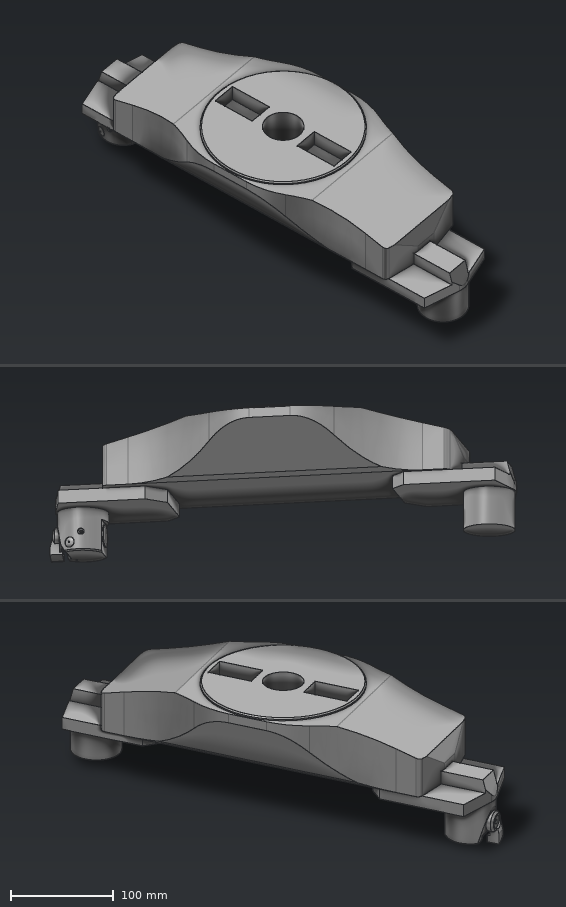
import cadquery as cq
import math


END_ANGLE = math.tan(math.radians(15))
CHEVRON = math.tan(math.radians(10))

BRIDGE_TOP = 63.5
MIDDLE_WIDTH = 164.0
MIDDLE_HALF_WIDTH = MIDDLE_WIDTH / 2
END_HALF_WIDTH = 53.0
MIDDLE_FLAT_END = 20.5
NECK_START = 146.0
CURVE_JOINT = 62.0
ROOF_START = 87.0
NOSE_X = 179.0
NOSE_WIDTH = 24.0
NOSE_HEIGHT = 20.5
CORNER_RADIUS = 5.0
UNDERCUT_TOP = 53.5
UNDERCUT_KNEE = (57.5, 4.0)

DISC_DIAMETER = 162.0
DISC_TOP = 66.0
DISC_CHAMFER = 1.5
TOTAL_HEIGHT = 126.0
BORE_DIAMETER = 40.0
BORE_DEPTH = 41.5
POCKET_LENGTH = 46.2
POCKET_WIDTH = 26.5
POCKET_DEPTH = 17.0
POCKET_X = 51.5

CARRIER_INNER = 113.0
CARRIER_NOSE = 229.0
CARRIER_THICKNESS = 13.0
CARRIER_BACK = 42.5
CARRIER_FRONT = 49.5
BACK_CORNER = 18.5
FRONT_CORNER = 14.0
TOOL_Y = -2.1
KEY_HEIGHT = 14.0
KEY_WIDTH = 24.0
KEY_Y = -5.5
KEY_TOP_X = 223.0

TOOL_X = 202.0
TOOL_DIAMETER = 50.5
TOOL_RADIUS = TOOL_DIAMETER / 2
WEIGHT_BOTTOM = -51.0
CARTRIDGE_BOTTOM = -56.0
CARTRIDGE_CHAMFER = 1.5

RELIEF_TOP = -21.3
RELIEF_DEPTH = 9.0
UNDERCUT_Z = -49.0
UNDERCUT_DEPTH = 12.0
UNDERCUT_SIDES = (-19.5, 9.2)

INSERT_Z = -37.0
INSERT_DIAMETER = 21.3
INSERT_CHAMFER = 2.5
INSERT_FACE = -28.5
INSERT_SEAT = -21.5
TOOTH_SIDES = (-8.0, 2.0)
TOOTH_FACE = -31.5
TOOTH_FACE_TOP = -48.0
TOOTH_HEEL = -19.0
TOOTH_HEEL_TOP = -52.5
TAPER_TOP = -55.0
CUTTING_EDGE = 3.0
TOOTH_BOTTOM = DISC_TOP - TOTAL_HEIGHT

SCREW_HEAD = 13.5
SCREW_HEAD_DEPTH = 3.2
SCREW_RECESS = 1.0
SCREW_SHANK = 6.5
SCREW_LENGTH = 12.0
SCREW_SOCKET = 4.5
SOCKET_DEPTH = 2.0

FLAT_TOP = -23.5
FLAT_X = 21.3
PAD_DIAMETER = 21.5
PAD_Z = -37.0
PAD_HEIGHT = 1.15

COOLANT_X = 3.0
COOLANT_Z = -37.0
COOLANT_DIAMETER = 6.0
COOLANT_RIM_DEPTH = 2.0
COOLANT_BORE = 2.8
COOLANT_DEPTH = 9.2
BUTTON_ANGLE = -20
BUTTON_Z = -47.0
BUTTON_DIAMETER = 10.0
BUTTON_HEIGHT = 1.5
BUTTON_HOLE = 1.0

PIN_X = -9.0
PIN_Y = 13.0
PIN_DIAMETER = 1.5
PIN_HEIGHT = 1.0


def box(x_range, y_range, z_range):
    """Axis-aligned block between the given limits."""
    size = [high - low for low, high in (x_range, y_range, z_range)]
    return cq.Workplane().box(*size, centered=False).translate((x_range[0], y_range[0], z_range[0]))


def x_cylinder(diameter, x_start, x_end, y, z):
    """Cylinder along X."""
    plane = cq.Workplane("YZ", origin=(x_start, y, z))
    return plane.circle(diameter / 2).extrude(x_end - x_start)


def half_turn(body):
    """Same body at the opposite end of the bridge."""
    return body.rotate((0, 0, 0), (0, 0, 1), 180)


def bridge_plan():
    """Waisted outline: tangent convex and concave arcs on every quarter."""
    run = NECK_START - MIDDLE_FLAT_END
    drop = MIDDLE_HALF_WIDTH - END_HALF_WIDTH
    sweep = 2 * math.atan(drop / run)
    convex_radius = (CURVE_JOINT - MIDDLE_FLAT_END) / math.sin(sweep)
    concave_radius = (NECK_START - CURVE_JOINT) / math.sin(sweep)

    def convex(angle):
        return (
            MIDDLE_FLAT_END + convex_radius * math.sin(angle),
            MIDDLE_HALF_WIDTH - convex_radius * (1 - math.cos(angle)),
        )

    def concave(angle):
        return (
            NECK_START - concave_radius * math.sin(angle),
            END_HALF_WIDTH + concave_radius * (1 - math.cos(angle)),
        )

    shoulder = NOSE_X - (END_HALF_WIDTH - NOSE_WIDTH / 2) * CHEVRON
    quarter = (
        cq.Workplane()
        .lineTo(0, MIDDLE_HALF_WIDTH)
        .lineTo(MIDDLE_FLAT_END, MIDDLE_HALF_WIDTH)
        .threePointArc(convex(sweep / 2), convex(sweep))
        .threePointArc(concave(sweep / 2), (NECK_START, END_HALF_WIDTH))
        .lineTo(shoulder, END_HALF_WIDTH)
        .lineTo(NOSE_X, NOSE_WIDTH / 2)
        .lineTo(NOSE_X, 0)
        .close()
        .extrude(BRIDGE_TOP)
        .edges(cq.selectors.NearestToPointSelector((shoulder, END_HALF_WIDTH, BRIDGE_TOP / 2)))
        .fillet(CORNER_RADIUS)
    )
    half = quarter.union(quarter.mirror("XZ"))
    return half.union(half.mirror("YZ")).clean()


def bridge_side_profile():
    """Sloping roof and leaning ends, as a prism along Y."""
    top_lean = NOSE_X - (BRIDGE_TOP - NOSE_HEIGHT) * END_ANGLE
    roof_drop = (top_lean - ROOF_START) * END_ANGLE / (1 - END_ANGLE ** 2)
    edge_x = top_lean + roof_drop * END_ANGLE
    edge_z = BRIDGE_TOP - roof_drop
    right = [(ROOF_START, BRIDGE_TOP), (edge_x, edge_z), (NOSE_X, NOSE_HEIGHT), (NOSE_X, 0)]
    left = [(-x, z) for x, z in reversed(right)]
    return cq.Workplane("XZ").polyline(right + left).close().extrude(MIDDLE_HALF_WIDTH, both=True)


def bridge_cross_profile():
    """Tapered lower sides, as a prism along X."""
    right = [
        (MIDDLE_HALF_WIDTH, BRIDGE_TOP),
        (MIDDLE_HALF_WIDTH, UNDERCUT_TOP),
        UNDERCUT_KNEE,
        (END_HALF_WIDTH, 0),
    ]
    left = [(-y, z) for y, z in reversed(right)]
    return cq.Workplane("YZ").polyline(right + left).close().extrude(NOSE_X, both=True)


def make_bridge():
    body = bridge_plan().intersect(bridge_side_profile()).intersect(bridge_cross_profile())
    disc = (
        cq.Workplane(origin=(0, 0, BRIDGE_TOP))
        .circle(DISC_DIAMETER / 2)
        .extrude(DISC_TOP - BRIDGE_TOP)
        .faces(">Z")
        .chamfer(DISC_CHAMFER)
    )
    body = body.union(disc)
    top = cq.Workplane(origin=(0, 0, DISC_TOP))
    body = body.cut(top.circle(BORE_DIAMETER / 2).extrude(-BORE_DEPTH))
    pockets = top.pushPoints([(-POCKET_X, 0), (POCKET_X, 0)]).rect(POCKET_LENGTH, POCKET_WIDTH)
    body = body.cut(pockets.extrude(-POCKET_DEPTH))
    slot = key_block()
    return body.cut(slot).cut(half_turn(slot))


def key_block():
    """Key along the carrier, before its end is shaped."""
    y_range = (KEY_Y - KEY_WIDTH / 2, KEY_Y + KEY_WIDTH / 2)
    return box((CARRIER_INNER, CARRIER_NOSE), y_range, (0, KEY_HEIGHT))


def make_carrier():
    """Flat plate with a swept nose and a raised key, at the +X end."""
    sweep = math.atan(END_ANGLE)
    arc_x = CARRIER_NOSE - TOOL_RADIUS * (1 - math.cos(sweep))
    nose_back = TOOL_Y + TOOL_RADIUS * math.sin(sweep)
    nose_front = TOOL_Y - TOOL_RADIUS * math.sin(sweep)
    outline = (
        cq.Workplane(origin=(0, 0, -CARRIER_THICKNESS))
        .moveTo(CARRIER_INNER, CARRIER_BACK - BACK_CORNER)
        .lineTo(CARRIER_INNER + BACK_CORNER, CARRIER_BACK)
        .lineTo(arc_x - (CARRIER_BACK - nose_back) * END_ANGLE, CARRIER_BACK)
        .lineTo(arc_x, nose_back)
        .threePointArc((CARRIER_NOSE, TOOL_Y), (arc_x, nose_front))
        .lineTo(arc_x - (nose_front + CARRIER_FRONT) * END_ANGLE, -CARRIER_FRONT)
        .lineTo(CARRIER_INNER + FRONT_CORNER, -CARRIER_FRONT)
        .lineTo(CARRIER_INNER, FRONT_CORNER - CARRIER_FRONT)
        .close()
    )
    envelope = outline.extrude(CARRIER_THICKNESS + KEY_HEIGHT)
    y_range = (-CARRIER_FRONT, CARRIER_BACK)
    slab = box((CARRIER_INNER, CARRIER_NOSE), y_range, (-CARRIER_THICKNESS, 0))
    body = envelope.intersect(slab.union(key_block()))

    slope_drop = (CARRIER_NOSE - KEY_TOP_X) / END_ANGLE
    y_far = KEY_Y + KEY_WIDTH / 2
    slope = (
        cq.Workplane("XZ", origin=(0, y_far, 0))
        .moveTo(KEY_TOP_X, KEY_HEIGHT)
        .lineTo(CARRIER_NOSE, KEY_HEIGHT - slope_drop)
        .lineTo(CARRIER_NOSE, KEY_HEIGHT)
        .close()
        .extrude(KEY_WIDTH)
    )
    return body.cut(slope)


def make_tool_blank(bottom):
    """Round shank under a carrier, centred on its own axis."""
    return cq.Workplane(origin=(0, 0, bottom)).circle(TOOL_RADIUS).extrude(-CARRIER_THICKNESS - bottom)


def make_counterweight():
    return make_tool_blank(WEIGHT_BOTTOM).translate((TOOL_X, TOOL_Y, 0))


def make_tooth():
    """Cutting tooth: a side profile narrowed towards the cutting edge."""
    y_low, y_high = TOOTH_SIDES
    side = (
        cq.Workplane("XZ", origin=(0, y_high, 0))
        .moveTo(INSERT_FACE, INSERT_Z)
        .lineTo(TOOTH_FACE, TOOTH_FACE_TOP)
        .lineTo(TOOTH_FACE, TOOTH_BOTTOM)
        .lineTo(TOOTH_HEEL, TOOTH_BOTTOM)
        .lineTo(TOOTH_HEEL, TOOTH_HEEL_TOP)
        .lineTo(INSERT_SEAT, TOOTH_HEEL_TOP)
        .lineTo(INSERT_SEAT, INSERT_Z)
        .close()
        .extrude(y_high - y_low)
    )
    taper = (
        cq.Workplane("YZ", origin=(TOOTH_FACE, 0, 0))
        .moveTo(y_low, TAPER_TOP)
        .lineTo(y_low, TOOTH_BOTTOM)
        .lineTo(y_high - CUTTING_EDGE, TOOTH_BOTTOM)
        .close()
        .extrude(TOOTH_HEEL - TOOTH_FACE)
    )
    return side.cut(taper)


def make_insert_blank():
    """Round insert with a bevelled front rim and a cutting tooth below it."""
    disc = x_cylinder(INSERT_DIAMETER, INSERT_FACE, INSERT_SEAT, 0, INSERT_Z)
    disc = disc.faces("<X").chamfer(INSERT_CHAMFER)
    return disc.union(make_tooth())


def make_screw_blank():
    """Headed screw along X, without its socket."""
    head_start = INSERT_FACE + SCREW_RECESS
    head_end = head_start + SCREW_HEAD_DEPTH
    head = x_cylinder(SCREW_HEAD, head_start, head_end, 0, INSERT_Z)
    return head.union(x_cylinder(SCREW_SHANK, head_start, head_start + SCREW_LENGTH, 0, INSERT_Z))


def make_screw():
    head_start = INSERT_FACE + SCREW_RECESS
    socket = x_cylinder(SCREW_SOCKET, head_start, head_start + SOCKET_DEPTH, 0, INSERT_Z)
    return make_screw_blank().cut(socket)


def make_insert():
    recess = x_cylinder(SCREW_HEAD, TOOTH_FACE, INSERT_FACE + SCREW_RECESS, 0, INSERT_Z)
    return make_insert_blank().cut(recess).cut(make_screw_blank())


def relief_x(z):
    """X of the slanted relief plane at height z."""
    slope = RELIEF_DEPTH / (RELIEF_TOP - CARTRIDGE_BOTTOM)
    return (RELIEF_TOP - z) * slope - TOOL_RADIUS


def cut_cutting_side(body):
    """Slanted relief with the insert seat and the screw hole."""
    relief = (
        cq.Workplane("XZ")
        .moveTo(-TOOL_RADIUS, RELIEF_TOP)
        .lineTo(relief_x(CARTRIDGE_BOTTOM), CARTRIDGE_BOTTOM)
        .lineTo(-TOOL_RADIUS, CARTRIDGE_BOTTOM)
        .close()
        .extrude(TOOL_RADIUS, both=True)
    )
    y_low, y_high = UNDERCUT_SIDES
    undercut = (
        cq.Workplane("XZ", origin=(0, y_high, 0))
        .moveTo(-TOOL_RADIUS, UNDERCUT_Z)
        .lineTo(relief_x(UNDERCUT_Z), UNDERCUT_Z)
        .lineTo(UNDERCUT_DEPTH - TOOL_RADIUS, CARTRIDGE_BOTTOM)
        .lineTo(-TOOL_RADIUS, CARTRIDGE_BOTTOM)
        .close()
        .extrude(y_high - y_low)
    )
    seat = x_cylinder(INSERT_DIAMETER, -TOOL_RADIUS, INSERT_SEAT, 0, INSERT_Z)
    return body.cut(relief).cut(undercut).cut(seat).cut(make_screw_blank())


def shape_inner_side(body):
    """Flat with a round raised pad."""
    flat = box((FLAT_X, TOOL_RADIUS), (-TOOL_RADIUS, TOOL_RADIUS), (CARTRIDGE_BOTTOM, FLAT_TOP))
    pad = x_cylinder(PAD_DIAMETER, FLAT_X, FLAT_X + PAD_HEIGHT, 0, PAD_Z)
    return body.cut(flat).union(pad)


def cut_coolant_outlet(body):
    """Stepped hole on the front of the cartridge."""
    front = cq.Workplane("XZ", origin=(COOLANT_X, -TOOL_RADIUS, COOLANT_Z))
    rim = front.circle(COOLANT_DIAMETER / 2).extrude(-COOLANT_RIM_DEPTH)
    bore = front.circle(COOLANT_BORE / 2).extrude(-COOLANT_DEPTH)
    return body.cut(rim).cut(bore)


def add_button(body):
    """Domed radial button with a small hole in its centre."""
    radius = BUTTON_DIAMETER / 2
    dome_radius = (radius ** 2 + BUTTON_HEIGHT ** 2) / (2 * BUTTON_HEIGHT)
    crown = TOOL_RADIUS + BUTTON_HEIGHT
    dome_y = dome_radius - crown
    axis = cq.Workplane("XZ", origin=(0, dome_y, 0))
    dome = cq.Workplane(origin=(0, dome_y, 0)).sphere(dome_radius)
    button = axis.circle(radius).extrude(dome_radius).intersect(dome)
    hole = cq.Workplane("XZ", origin=(0, -crown, 0)).circle(BUTTON_HOLE / 2).extrude(-BUTTON_HEIGHT)

    def place(shape):
        return shape.translate((0, 0, BUTTON_Z)).rotate((0, 0, 0), (0, 0, 1), BUTTON_ANGLE)

    return body.union(place(button)).cut(place(hole))


def add_pin(body):
    """Small pin on the bottom face."""
    pin = cq.Workplane(origin=(PIN_X, PIN_Y, CARTRIDGE_BOTTOM)).circle(PIN_DIAMETER / 2)
    return body.union(pin.extrude(-PIN_HEIGHT))


def make_cartridge():
    body = make_tool_blank(CARTRIDGE_BOTTOM).faces("<Z").chamfer(CARTRIDGE_CHAMFER)
    body = shape_inner_side(body)
    body = cut_coolant_outlet(body)
    body = add_button(body)
    body = cut_cutting_side(body)
    return add_pin(body)


def place_cutter(body):
    """Move a cutter body from the cartridge axis to the -X end."""
    return body.translate((-TOOL_X, -TOOL_Y, 0))


bridge = make_bridge()
carriers = [make_carrier(), half_turn(make_carrier())]
counterweight = make_counterweight()
cartridge = place_cutter(make_cartridge())
insert = place_cutter(make_insert())
screw = place_cutter(make_screw())

result = cq.Compound.makeCompound([
    bridge.val(),
    *[carrier.val() for carrier in carriers],
    counterweight.val(),
    cartridge.val(),
    insert.val(),
    screw.val(),
])